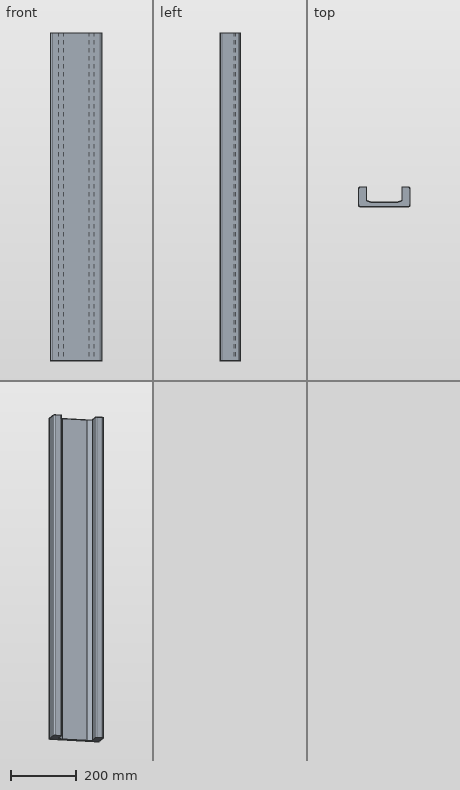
import cadquery as cq

length = 1000.0
width = 157.0
depth = 61.0

web_thickness = 14.0
flange_thickness = 25.0

outer_radius = 6.0
tip_radius = 4.0

corner_run = 15.0
corner_rise = 5.0


def rounded_bar():
    """Upright bar centred on the origin with all four long edges rounded."""
    return cq.Workplane("XY").box(width, depth, length).edges("|Z").fillet(outer_radius)


def channel_recess():
    """Space between the flanges, with sloped corners at the web and open toward +Y."""
    side_x = width / 2 - flange_thickness
    floor_x = side_x - corner_run
    floor_y = web_thickness - depth / 2
    side_y = floor_y + corner_rise
    open_y = depth / 2
    outline = [
        (-side_x, open_y),
        (-side_x, side_y),
        (-floor_x, floor_y),
        (floor_x, floor_y),
        (side_x, side_y),
        (side_x, open_y),
    ]
    return cq.Workplane("XY").polyline(outline).close().extrude(length / 2, both=True)


def round_inner_tips(channel):
    """Round the inner long edge at the tip of each flange."""
    tip_x = width / 2 - flange_thickness
    for side in (-1, 1):
        tip_edge = cq.selectors.NearestToPointSelector((side * tip_x, depth / 2, 0))
        channel = channel.edges("|Z").edges(tip_edge).fillet(tip_radius)
    return channel


result = round_inner_tips(rounded_bar().cut(channel_recess()))